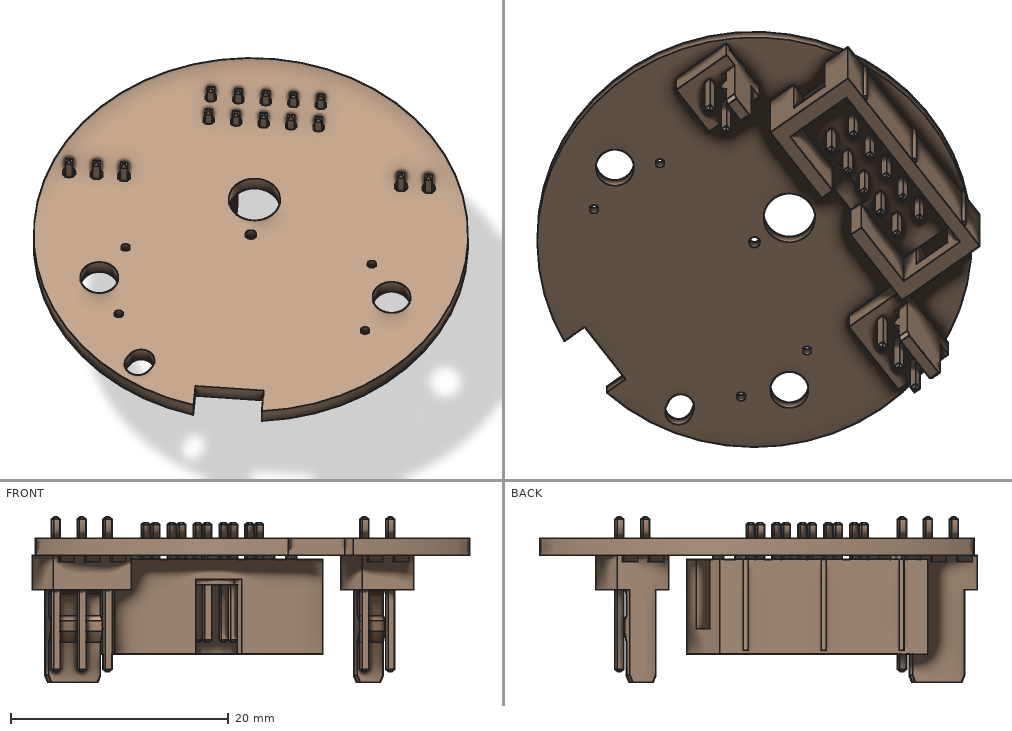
import cadquery as cq
import math

LAYOUT_ANGLE = 20

BOARD_DIAMETER = 40.0
BOARD_THICKNESS = 1.6
CENTRE_HOLE_DIAMETER = 1.0
SHAFT_HOLE_DIAMETER = 4.75
SHAFT_HOLE_Y = 4.0
MOUNT_HOLE_DIAMETER = 3.5
MOUNT_HOLE_X = 13.5
MOUNT_HOLE_Y = -6.0
SMALL_HOLE_DIAMETER = 0.8
SMALL_HOLE_X = 11.38
SMALL_HOLE_YS = (-2.4, -9.95)
SLOT_WIDTH = 2.5
SLOT_LENGTH = 2.98
SLOT_X = -9.0
SLOT_Y = -15.25
NOTCH_LEFT = -3.65
NOTCH_RIGHT = 2.65
NOTCH_TOP_Y = -17.5

BOX_ROW_COUNT = 5
BOX_ROW_SPAN = 10.15
PITCH = BOX_ROW_SPAN / (BOX_ROW_COUNT - 1)
PIN_WIDTH = 0.65

BOX_X = 0.12
BOX_Y = 13.9
BOX_LENGTH = 20.4
BOX_WIDTH = 8.9
BOX_TOP = -0.35
BOX_BOTTOM = -9.1
BOX_FLOOR = -2.7
BOX_END_WALL = 1.43
BOX_SIDE_WALL = 1.22
BOX_HOLE_DIAMETER = 1.0
BOX_PIN_TOP = 3.0
BOX_PIN_BOTTOM = -8.0
BOX_PIN_CHAMFER = 0.2
KEY_WIDTH = 4.5
KEY_DEPTH = 2.0
KEY_TOP = -2.2
END_SLOT_WIDTH = 3.55
END_SLOT_BOTTOM = -6.75
RIB_RADIUS = 0.25
RIB_BOTTOM = -8.73
FOOT_DIAMETER = 1.0
FOOT_SPACING_X = 7.63
FOOT_OFFSET_Y = 2.98

THREE_PIN = (3, -14.72, 5.63)
TWO_PIN = (2, 14.6, 6.6)
LOCK_HOLE_DIAMETER = 1.2
LOCK_PIN_TOP = 3.55
LOCK_PIN_BOTTOM = -10.73
LOCK_PIN_CHAMFER = 0.25
BASE_WIDTH = 5.75
BASE_HEIGHT = 3.2
GROOVE_WIDTH = 1.5
GROOVE_DEPTH = 0.6
TONGUE_THICKNESS = 0.98
TONGUE_BOTTOM = -11.7
TONGUE_CORNER_WIDTH = 0.3
TONGUE_CORNER_HEIGHT = 0.65
ROOT_RADIUS = 0.57
BARB_HEIGHT = 0.55
BARB_TOP = -5.55
BARB_FLAT_TOP = -6.05
BARB_FLAT_BOTTOM = -7.0
BARB_BOTTOM = -8.0


def turned(body):
    """Turn a body from the square layout to its final direction."""
    return body.rotate((0, 0, 0), (0, 0, 1), LAYOUT_ANGLE).solids()


def block(x_range, y_range, z_range):
    """Box between pairs of limits along X, Y and Z."""
    (x0, x1), (y0, y1), (z0, z1) = x_range, y_range, z_range
    return cq.Workplane("XY").box(x1 - x0, y1 - y0, z1 - z0, centered=False).translate((x0, y0, z0))


def row_points(count, x, y):
    """Places of the pins of one row about its middle."""
    return [(x + (i - (count - 1) / 2) * PITCH, y) for i in range(count)]


def box_pin_points():
    """Places of the two rows of five pins."""
    rows = [row_points(BOX_ROW_COUNT, BOX_X, BOX_Y + side * PITCH / 2) for side in (-1, 1)]
    return [point for row in rows for point in row]


def pins(points, bottom, top, tip_chamfer):
    """Square pins with both tips chamfered, one at each point."""
    return (
        cq.Workplane("XY", origin=(0, 0, bottom))
        .pushPoints(points)
        .rect(PIN_WIDTH, PIN_WIDTH)
        .extrude(top - bottom)
        .faces("<Z or >Z")
        .chamfer(tip_chamfer)
    )


def make_board():
    board = cq.Workplane("XY").circle(BOARD_DIAMETER / 2).extrude(BOARD_THICKNESS)
    mount_points = [(side * MOUNT_HOLE_X, MOUNT_HOLE_Y) for side in (-1, 1)]
    small_points = [(side * SMALL_HOLE_X, y) for side in (-1, 1) for y in SMALL_HOLE_YS]
    lock_points = row_points(*THREE_PIN) + row_points(*TWO_PIN)
    hole_groups = (
        (CENTRE_HOLE_DIAMETER, [(0, 0)]),
        (SHAFT_HOLE_DIAMETER, [(0, SHAFT_HOLE_Y)]),
        (MOUNT_HOLE_DIAMETER, mount_points),
        (SMALL_HOLE_DIAMETER, small_points),
        (BOX_HOLE_DIAMETER, box_pin_points()),
        (LOCK_HOLE_DIAMETER, lock_points),
    )
    for diameter, points in hole_groups:
        holes = cq.Workplane("XY").pushPoints(points).circle(diameter / 2).extrude(BOARD_THICKNESS)
        board = board.cut(holes)

    notch = block((NOTCH_LEFT, NOTCH_RIGHT), (-BOARD_DIAMETER, NOTCH_TOP_Y), (0, BOARD_THICKNESS))
    board = board.cut(notch)

    slot_angle = math.degrees(math.atan2(SLOT_Y, SLOT_X))
    slot = cq.Workplane("XY").center(SLOT_X, SLOT_Y).slot2D(SLOT_LENGTH, SLOT_WIDTH, slot_angle)
    return turned(board.cut(slot.extrude(BOARD_THICKNESS)))


def make_box_header():
    left = BOX_X - BOX_LENGTH / 2
    right = BOX_X + BOX_LENGTH / 2
    front = BOX_Y - BOX_WIDTH / 2
    back = BOX_Y + BOX_WIDTH / 2
    body = block((left, right), (front, back), (BOX_BOTTOM, BOX_TOP))

    cavity_x = (left + BOX_END_WALL, right - BOX_END_WALL)
    cavity_y = (front + BOX_SIDE_WALL, back - BOX_SIDE_WALL)
    body = body.cut(block(cavity_x, cavity_y, (BOX_BOTTOM, BOX_FLOOR)))

    key_x = (BOX_X - KEY_WIDTH / 2, BOX_X + KEY_WIDTH / 2)
    body = body.cut(block(key_x, (front, front + KEY_DEPTH), (BOX_BOTTOM, KEY_TOP)))

    slot_y = (BOX_Y - END_SLOT_WIDTH / 2, BOX_Y + END_SLOT_WIDTH / 2)
    for wall_x in ((left, left + BOX_END_WALL), (right - BOX_END_WALL, right)):
        body = body.cut(block(wall_x, slot_y, (END_SLOT_BOTTOM, BOX_TOP)))

    columns = [BOX_X + i * FOOT_SPACING_X for i in (-1, 0, 1)]
    rib_points = [(x, back) for x in columns]
    ribs = cq.Workplane("XY", origin=(0, 0, RIB_BOTTOM)).pushPoints(rib_points).circle(RIB_RADIUS)
    foot_points = [(x, BOX_Y + side * FOOT_OFFSET_Y) for x in columns for side in (-1, 1)]
    feet = cq.Workplane("XY", origin=(0, 0, BOX_TOP)).pushPoints(foot_points).circle(FOOT_DIAMETER / 2)
    body = body.union(ribs.extrude(BOX_TOP - RIB_BOTTOM)).union(feet.extrude(-BOX_TOP))

    contacts = pins(box_pin_points(), BOX_PIN_BOTTOM, BOX_PIN_TOP, BOX_PIN_CHAMFER)
    return turned(body.union(contacts))


def make_tongue(width, x, back):
    """Locking tongue with a barb toward the pins, hanging from the base at the back face."""
    face = back - TONGUE_THICKNESS
    barb = face - BARB_HEIGHT
    arc_inset = ROOT_RADIUS * (1 - math.sqrt(0.5))
    tongue = (
        cq.Workplane("YZ", origin=(x - width / 2, 0, 0))
        .moveTo(back, -BASE_HEIGHT)
        .lineTo(back, TONGUE_BOTTOM)
        .lineTo(face, TONGUE_BOTTOM)
        .lineTo(face, BARB_BOTTOM)
        .lineTo(barb, BARB_FLAT_BOTTOM)
        .lineTo(barb, BARB_FLAT_TOP)
        .lineTo(face, BARB_TOP)
        .lineTo(face, -BASE_HEIGHT - ROOT_RADIUS)
        .threePointArc(
            (face - arc_inset, -BASE_HEIGHT - arc_inset),
            (face - ROOT_RADIUS, -BASE_HEIGHT),
        )
        .close()
        .extrude(width)
    )
    corners = tongue.faces("<Z").edges("|Y")
    return corners.chamfer(TONGUE_CORNER_WIDTH, TONGUE_CORNER_HEIGHT)


def make_locking_header(count, x, y):
    length = count * PITCH
    front = y - BASE_WIDTH / 2
    back = y + BASE_WIDTH / 2
    points = row_points(count, x, y)
    body = block((x - length / 2, x + length / 2), (front, back), (-BASE_HEIGHT, 0))

    for pin_x, _ in points:
        groove_x = (pin_x - GROOVE_WIDTH / 2, pin_x + GROOVE_WIDTH / 2)
        body = body.cut(block(groove_x, (front, back), (-GROOVE_DEPTH, 0)))

    body = body.union(make_tongue(length - PITCH, x, back))
    contacts = pins(points, LOCK_PIN_BOTTOM, LOCK_PIN_TOP, LOCK_PIN_CHAMFER)
    return turned(body.union(contacts))


board = make_board()
box_header = make_box_header()
locking_headers = [make_locking_header(*place) for place in (THREE_PIN, TWO_PIN)]

result = cq.Compound.makeCompound(
    [board.val(), box_header.val(), *[header.val() for header in locking_headers]]
)